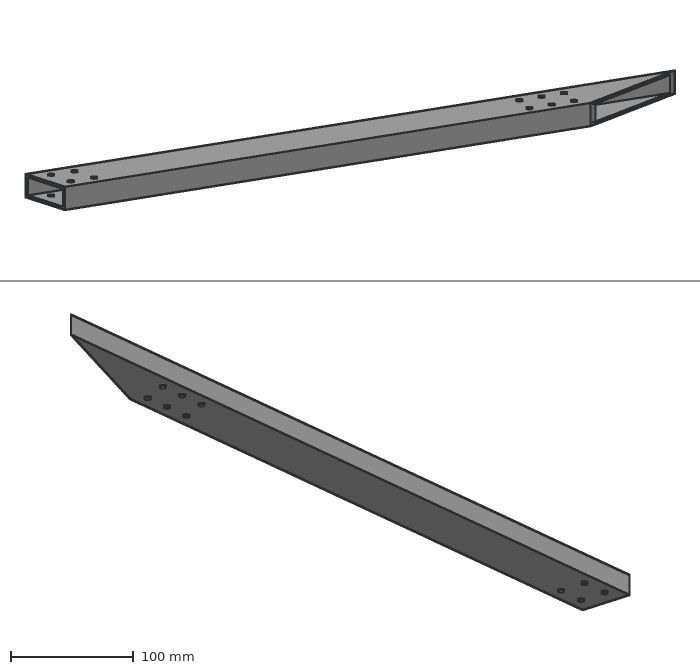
import cadquery as cq
import math

span_x = 228.5
span_y = 533.0
height = 20.0

tube_width = 40.0
wall = 2.3

hole_diameter = 5.0
hole_pitch = tube_width / 2
foot_rows_y = (13.0, 32.0)
last_head_row = 476.5
head_row_count = 3

lean = math.atan2(span_x, span_y)
edge_inset = (tube_width - hole_pitch) / 2
hole_insets = (edge_inset, edge_inset + hole_pitch)


def long_side_offset_x(inset):
    """X shift at constant Y of a line lying `inset` square from the long side."""
    return inset / math.cos(lean)


def slanted_prism(near_inset, far_inset, bottom, top):
    """Prism between two lines parallel to the tube, cut at Y = 0 and X = span_x."""
    near_x = long_side_offset_x(near_inset)
    far_x = long_side_offset_x(far_inset)
    outline = [
        (near_x, 0),
        (far_x, 0),
        (span_x, (span_x - far_x) / math.tan(lean)),
        (span_x, (span_x - near_x) / math.tan(lean)),
    ]
    return cq.Workplane("XY").workplane(offset=bottom).polyline(outline).close().extrude(top - bottom)


def foot_hole_centres():
    """Rows parallel to the foot cut, columns parallel to the tube."""
    return [
        (y * math.tan(lean) + long_side_offset_x(inset), y)
        for y in foot_rows_y
        for inset in hole_insets
    ]


def head_hole_centres():
    """Rows square to the tube, near its pointed end."""
    centres = []
    for row in range(head_row_count):
        along = last_head_row - row * hole_pitch
        for inset in hole_insets:
            x = along * math.sin(lean) + inset * math.cos(lean)
            y = along * math.cos(lean) - inset * math.sin(lean)
            centres.append((x, y))
    return centres


outer = slanted_prism(0, tube_width, 0, height)
bore = slanted_prism(wall, tube_width - wall, wall, height - wall)
tube = outer.cut(bore)

holes = (
    cq.Workplane("XY")
    .pushPoints(foot_hole_centres() + head_hole_centres())
    .circle(hole_diameter / 2)
    .extrude(height)
)
result = tube.cut(holes)